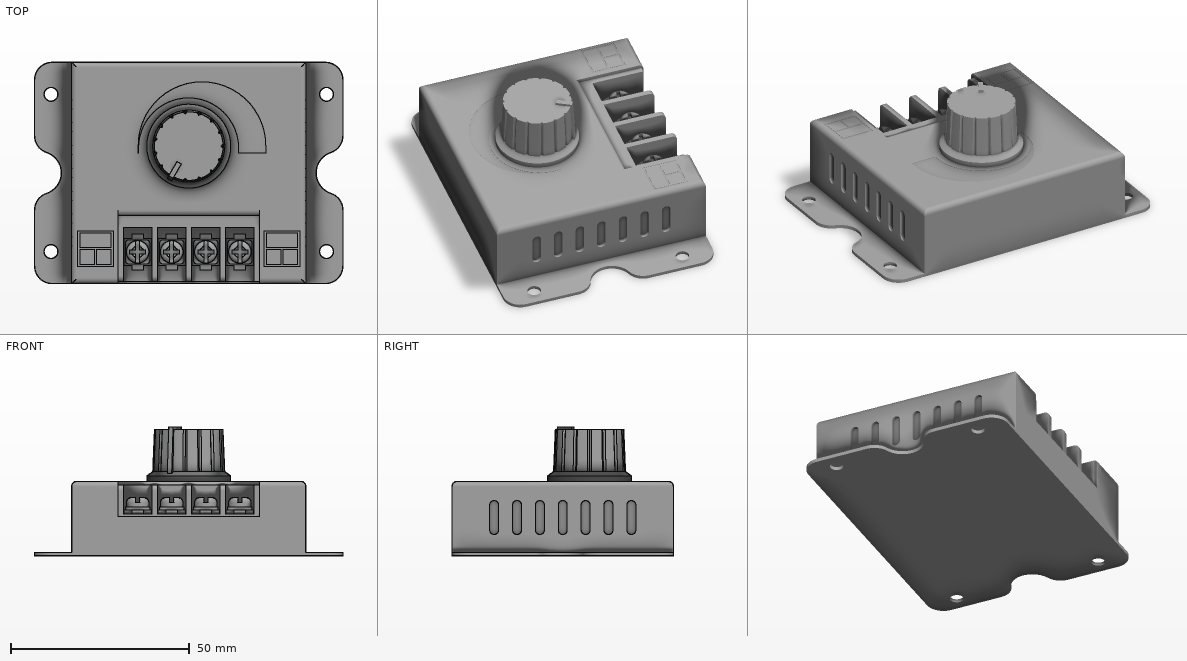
import cadquery as cq
import math

flange_length = 86.35
flange_width = 62.0
flange_thickness = 1.0
flange_corner_radius = 5.0
notch_radius = 6.0
notch_depth = 7.5
mount_hole_diameter = 3.8
mount_hole_spacing_x = 77.1
mount_hole_spacing_y = 44.0

body_length = 65.6
body_height = 20.9
edge_radius = 1.5

vent_count = 7
vent_pitch = 6.4
vent_width = 2.5
vent_height = 9.5
vent_center_z = 10.75
vent_depth = 1.0

recess_width = 39.7
recess_back_y = -10.5
recess_floor_z = 11.0
block_front_y = -flange_width / 2 + 0.6
block_top_z = body_height - 1.1
pocket_count = 4
wall_thickness = 1.55
pocket_back_y = -15.3
pocket_floor_z = recess_floor_z + 0.8
pocket_width = (recess_width - (pocket_count + 1) * wall_thickness) / pocket_count
pocket_pitch = pocket_width + wall_thickness

screw_y = -22.1
plate_length = 7.5
plate_width = 7.7
plate_thickness = 1.0
tab_length = 10.1
tab_width = 3.2
washer_size = 6.8
washer_corner_radius = 1.0
washer_thickness = 0.95
head_diameter = 6.3
head_height = 2.65
head_edge_radius = 1.5
drive_slot_width = 1.1
drive_slot_depth = 1.45
cross_length = 4.5
cross_recess_depth = 1.0
cross_recess_taper = 45

knob_y = 7.5
skirt_diameter = 23.5
skirt_top_z = body_height + 1.5
grip_bottom_z = skirt_top_z + 1.2
grip_bottom_diameter = 20.2
grip_top_z = 35.4
grip_top_diameter = 19.2
flute_count = 15
flute_depth = 0.55
pointer_angle = 240.0
pointer_width = 1.4
pointer_inner_radius = 5.4
pointer_bottom_radius = 10.8
pointer_top_radius = 10.0
pointer_bottom_z = 22.9
pointer_top_z = 36.1

marking_depth = 0.1
scale_left_x = -14.15
scale_tip_width = 0.1
scale_base_y = 5.55
scale_outer_radius = 17.85
scale_outer_center_y = 7.65
scale_inner_radius = 14.0
scale_inner_center_y = 7.0
label_center_x = 26.1
label_center_y = -21.2
label_size = 10.0
label_line = 0.6
label_title_height = 4.0


def box(x_range, y_range, z_range):
    """Axis-aligned box between the given limits."""
    size = [high - low for low, high in (x_range, y_range, z_range)]
    corner = (x_range[0], y_range[0], z_range[0])
    return cq.Workplane("XY").box(*size, centered=False).translate(corner)


def make_flange():
    plate = cq.Workplane("XY").rect(flange_length, flange_width).extrude(flange_thickness)
    plate = plate.edges("|Z").fillet(flange_corner_radius)
    for side in (-1, 1):
        plate = plate.cut(make_notch(side))
    holes = cq.Workplane("XY").rect(mount_hole_spacing_x, mount_hole_spacing_y, forConstruction=True)
    holes = holes.vertices().circle(mount_hole_diameter / 2).extrude(flange_thickness)
    return plate.cut(holes)


def make_notch(side):
    """Round notch in one flange end, blended into the end edge by convex arcs."""
    edge_x = flange_length / 2
    tip_x = edge_x - notch_depth
    notch_center_x = tip_x + notch_radius
    blend_center_x = edge_x - flange_corner_radius
    center_distance = notch_radius + flange_corner_radius
    offset_x = blend_center_x - notch_center_x
    blend_center_y = math.sqrt(center_distance**2 - offset_x**2)
    tangent_x = notch_center_x + offset_x * notch_radius / center_distance
    tangent_y = blend_center_y * notch_radius / center_distance
    mid_angle = math.atan2(tangent_y - blend_center_y, tangent_x - blend_center_x) / 2
    mid_x = blend_center_x + flange_corner_radius * math.cos(mid_angle)
    mid_y = blend_center_y + flange_corner_radius * math.sin(mid_angle)
    outline = (
        cq.Workplane("XY")
        .moveTo(side * edge_x, blend_center_y)
        .threePointArc((side * mid_x, mid_y), (side * tangent_x, tangent_y))
        .threePointArc((side * tip_x, 0), (side * tangent_x, -tangent_y))
        .threePointArc((side * mid_x, -mid_y), (side * edge_x, -blend_center_y))
        .close()
    )
    return outline.extrude(flange_thickness)


def make_body():
    body = cq.Workplane("XY").rect(body_length, flange_width).extrude(body_height)
    body = body.faces(">Z").edges().fillet(edge_radius)
    return body.cut(make_recess()).cut(make_vents())


def make_recess():
    """Opening for the terminal block, with its back top edge rounded."""
    wall_y = recess_back_y - edge_radius
    arc_mid_offset = edge_radius * math.sqrt(0.5)
    arc_mid = (recess_back_y - arc_mid_offset, body_height - edge_radius + arc_mid_offset)
    profile = (
        cq.Workplane("YZ")
        .moveTo(-flange_width / 2, recess_floor_z)
        .lineTo(wall_y, recess_floor_z)
        .lineTo(wall_y, body_height - edge_radius)
        .threePointArc(arc_mid, (recess_back_y, body_height))
        .lineTo(-flange_width / 2, body_height)
        .close()
    )
    return profile.extrude(recess_width / 2, both=True)


def make_vents():
    """Rows of blind upright slots in both end walls."""
    wall_x = body_length / 2
    row = (
        cq.Workplane("YZ")
        .rarray(vent_pitch, 1, vent_count, 1)
        .slot2D(vent_height, vent_width, 90)
        .extrude(vent_depth)
        .translate((wall_x - vent_depth, 0, vent_center_z))
    )
    return row.union(row.mirror("YZ"))


def pocket_centers():
    first = -(pocket_count - 1) / 2 * pocket_pitch
    return [first + index * pocket_pitch for index in range(pocket_count)]


def make_terminal_block():
    half_width = recess_width / 2
    last_wall_x = half_width - wall_thickness
    y_range = (block_front_y, recess_back_y - edge_radius / 2)
    z_range = (recess_floor_z, block_top_z)
    block = box((-half_width, last_wall_x), y_range, z_range)
    block = block.edges(">Z and <Y").fillet(edge_radius)
    block = block.union(box((last_wall_x, half_width), y_range, z_range))
    for x in pocket_centers():
        x_range = (x - pocket_width / 2, x + pocket_width / 2)
        block = block.cut(box(x_range, (block_front_y, pocket_back_y), (pocket_floor_z, block_top_z)))
    return block


def make_terminal():
    """Tabbed plate, square washer and screw head, standing on z = 0."""
    plate = cq.Workplane("XY").rect(plate_width, plate_length).extrude(plate_thickness)
    tab = cq.Workplane("XY").rect(tab_width, tab_length).extrude(plate_thickness)
    washer = cq.Workplane("XY", origin=(0, 0, plate_thickness))
    washer = washer.rect(washer_size, washer_size).extrude(washer_thickness)
    washer = washer.edges("|Z").fillet(washer_corner_radius)
    head = make_screw_head().translate((0, 0, plate_thickness + washer_thickness))
    return plate.union(tab).union(washer).union(head)


def make_screw_head():
    head = cq.Workplane("XY").circle(head_diameter / 2).extrude(head_height)
    head = head.faces(">Z").edges().fillet(head_edge_radius)
    drive = cq.Workplane("XY", origin=(0, 0, head_height))
    long_slot = drive.rect(drive_slot_width, head_diameter).extrude(-drive_slot_depth)
    cross_slot = drive.rect(cross_length, drive_slot_width).extrude(-drive_slot_depth)
    half = cross_length / 2
    diamond = drive.polyline([(half, 0), (0, half), (-half, 0), (0, -half)]).close()
    diamond = diamond.extrude(-cross_recess_depth, taper=cross_recess_taper)
    return head.cut(long_slot).cut(cross_slot).cut(diamond)


def make_knob():
    """Knob about the Z axis: skirt, tapered grip with flutes, and pointer."""
    profile = (
        cq.Workplane("XZ")
        .moveTo(0, body_height)
        .lineTo(skirt_diameter / 2, body_height)
        .lineTo(skirt_diameter / 2, skirt_top_z)
        .lineTo(grip_bottom_diameter / 2, grip_bottom_z)
        .lineTo(grip_top_diameter / 2, grip_top_z)
        .lineTo(0, grip_top_z)
        .close()
    )
    knob = profile.revolve(360, (0, 0, 0), (0, 1, 0))
    flute = make_flute()
    for index in range(flute_count):
        angle = pointer_angle + index * 360 / flute_count
        knob = knob.cut(flute.rotate((0, 0, 0), (0, 0, 1), angle))
    pointer = make_pointer().rotate((0, 0, 0), (0, 0, 1), pointer_angle)
    return knob.union(pointer).translate((0, knob_y, 0))


def make_flute():
    """V-shaped flute along the slope of the grip on its +X side."""
    center_x = grip_bottom_diameter / 2
    slope_x = (grip_top_diameter - grip_bottom_diameter) / 2
    slope = cq.Vector(slope_x, 0, grip_top_z - grip_bottom_z)
    diamond = [
        (center_x - flute_depth, 0),
        (center_x, flute_depth),
        (center_x + flute_depth, 0),
        (center_x, -flute_depth),
    ]
    path_start = cq.Vector(center_x, 0, grip_bottom_z)
    path = cq.Workplane(cq.Edge.makeLine(path_start, path_start + slope))
    section = cq.Workplane("XY", origin=(0, 0, grip_bottom_z)).polyline(diamond).close()
    return section.sweep(path)


def make_pointer():
    outline = [
        (pointer_inner_radius, pointer_bottom_z),
        (pointer_bottom_radius, pointer_bottom_z),
        (pointer_top_radius, pointer_top_z),
        (pointer_inner_radius, pointer_top_z),
    ]
    return cq.Workplane("XZ").polyline(outline).close().extrude(pointer_width / 2, both=True)


def make_dial_scale():
    """Crescent around the knob that widens from left to right."""
    outer_center_x = scale_left_x + scale_outer_radius
    outer_right_x = outer_center_x + scale_outer_radius
    outer_top = (outer_center_x, scale_outer_center_y + scale_outer_radius)
    inner_left_x = scale_left_x + scale_tip_width
    inner_center_x = inner_left_x + scale_inner_radius
    inner_right_x = inner_center_x + scale_inner_radius
    inner_top = (inner_center_x, scale_inner_center_y + scale_inner_radius)
    outline = (
        cq.Workplane("XY", origin=(0, 0, body_height))
        .moveTo(scale_left_x, scale_base_y)
        .lineTo(scale_left_x, scale_outer_center_y)
        .threePointArc(outer_top, (outer_right_x, scale_outer_center_y))
        .lineTo(outer_right_x, scale_base_y)
        .lineTo(inner_right_x, scale_base_y)
        .lineTo(inner_right_x, scale_inner_center_y)
        .threePointArc(inner_top, (inner_left_x, scale_inner_center_y))
        .lineTo(inner_left_x, scale_base_y)
        .close()
    )
    return outline.extrude(-marking_depth)


def make_label_frame():
    """Square frame with one wide panel above two small ones, centred on the origin."""
    title_width = label_size - 2 * label_line
    small_width = (title_width - label_line) / 2
    small_height = label_size - 3 * label_line - label_title_height
    title_y = label_size / 2 - label_line - label_title_height / 2
    small_x = (small_width + label_line) / 2
    small_y = -label_size / 2 + label_line + small_height / 2
    plane = cq.Workplane("XY")
    frame = plane.rect(label_size, label_size).extrude(-marking_depth)
    title = plane.center(0, title_y).rect(title_width, label_title_height).extrude(-marking_depth)
    frame = frame.cut(title)
    for side in (-1, 1):
        small = plane.center(side * small_x, small_y).rect(small_width, small_height)
        frame = frame.cut(small.extrude(-marking_depth))
    return frame


def make_dimmer():
    part = make_flange().union(make_body()).union(make_terminal_block())
    terminal = make_terminal()
    for x in pocket_centers():
        part = part.union(terminal.translate((x, screw_y, pocket_floor_z)))
    part = part.cut(make_dial_scale())
    frame = make_label_frame()
    for side in (-1, 1):
        part = part.cut(frame.translate((side * label_center_x, label_center_y, body_height)))
    return part.union(make_knob())


result = make_dimmer()